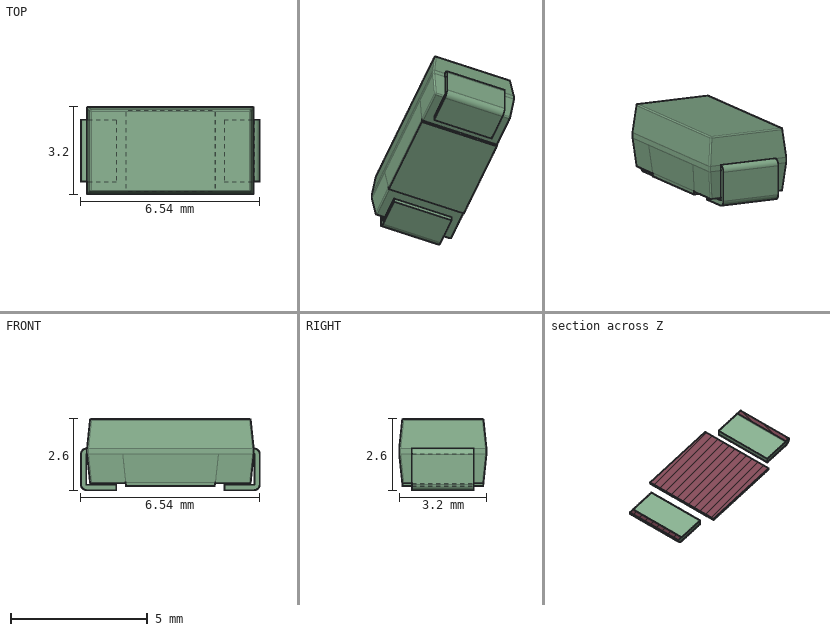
import cadquery as cq

LENGTH = 6.54
TOP_Z = 2.6

LEAD_THICKNESS = 0.2
LEAD_WIDTH = 2.26
LEAD_TOP_Z = 1.53
FOOT_LENGTH = 1.295
BEND_INNER_RADIUS = 0.02
BEND_OUTER_RADIUS = BEND_INNER_RADIUS + LEAD_THICKNESS

HOUSING_LENGTH = LENGTH - 2 * BEND_OUTER_RADIUS
HOUSING_WIDTH = 3.2
HOUSING_BOTTOM_Z = 0.25
BAND_TOP_Z = LEAD_TOP_Z
BAND_BOTTOM_Z = BAND_TOP_Z - LEAD_THICKNESS
DRAFT_ANGLE = 6.0
EDGE_RADIUS = 0.05

PAD_BOTTOM_Z = 0.15
PAD_LENGTH = 3.49


def drafted_block(length, start_z, end_z):
    """Block of full housing width at start_z whose walls lean inward towards end_z."""
    return (
        cq.Workplane("XY", origin=(0, 0, start_z))
        .rect(length, HOUSING_WIDTH)
        .extrude(end_z - start_z, taper=DRAFT_ANGLE)
    )


def make_housing():
    """Moulded housing with rounded edges and a pad that continues its long walls downward."""
    band = (
        cq.Workplane("XY", origin=(0, 0, BAND_BOTTOM_Z))
        .rect(HOUSING_LENGTH, HOUSING_WIDTH)
        .extrude(BAND_TOP_Z - BAND_BOTTOM_Z)
    )
    upper = drafted_block(HOUSING_LENGTH, BAND_TOP_Z, TOP_Z)
    lower = drafted_block(HOUSING_LENGTH, BAND_BOTTOM_Z, HOUSING_BOTTOM_Z)
    shell = band.union(upper).union(lower)

    shell = shell.edges("(not(|X or |Y)) or >Z or <Z").fillet(EDGE_RADIUS)

    pad = drafted_block(PAD_LENGTH, BAND_BOTTOM_Z, PAD_BOTTOM_Z)
    return shell.union(pad, clean=False).solids()


def make_lead(side):
    """Bent lead at one end of the housing; side is -1 for the -X end and +1 for the +X end."""
    outer_x = LENGTH / 2
    inner_x = outer_x - LEAD_THICKNESS
    bend_x = outer_x - BEND_OUTER_RADIUS
    foot_end_x = outer_x - FOOT_LENGTH
    upper_bend_z = LEAD_TOP_Z - BEND_OUTER_RADIUS
    lower_bend_z = BEND_OUTER_RADIUS

    lead = (
        cq.Workplane("XZ")
        .moveTo(bend_x, LEAD_TOP_Z)
        .radiusArc((outer_x, upper_bend_z), BEND_OUTER_RADIUS)
        .lineTo(outer_x, lower_bend_z)
        .radiusArc((bend_x, 0), BEND_OUTER_RADIUS)
        .lineTo(foot_end_x, 0)
        .lineTo(foot_end_x, LEAD_THICKNESS)
        .lineTo(bend_x, LEAD_THICKNESS)
        .radiusArc((inner_x, lower_bend_z), -BEND_INNER_RADIUS)
        .lineTo(inner_x, upper_bend_z)
        .radiusArc((bend_x, BAND_BOTTOM_Z), -BEND_INNER_RADIUS)
        .close()
        .extrude(LEAD_WIDTH / 2, both=True)
    )
    return lead if side > 0 else lead.mirror("YZ")


housing = make_housing()
leads = [make_lead(side) for side in (-1, 1)]

result = cq.Compound.makeCompound([housing.val(), *[lead.val() for lead in leads]])